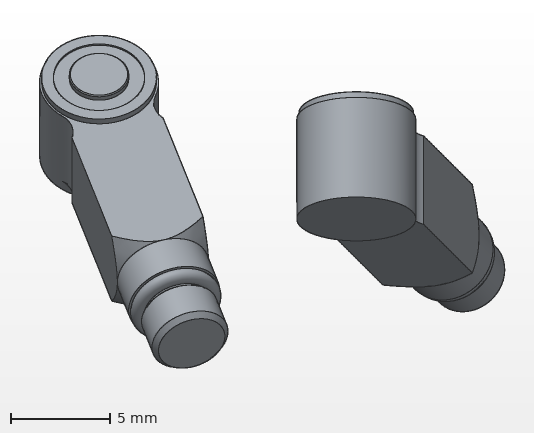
import cadquery as cq
import math

drum_diameter = 6.0
drum_height = 5.4

cap_diameter = 5.8
cap_top = 5.75
recess_diameter = 4.6
recess_depth = 0.1
button_diameter = 3.0
button_top = 5.97
button_chamfer = 0.05

arm_width = 4.8
arm_axis_z = drum_height - arm_width / 2
shoulder_x = 11.39
collar_end_x = 13.4

neck_radius = 1.36
neck_tangent_x = 1.75

ring_section_diameter = 0.8
ring_end_x = 14.05
ring_outer_diameter = 4.72
plug_diameter = 4.0
plug_groove_diameter = 3.6
plug_start_x = 14.14
plug_tip_diameter = 3.5
plug_tip_length = 0.3
plug_end_x = 19.5 - drum_diameter / 2


def disc(diameter, bottom, top):
    """Upright cylinder on the drum axis."""
    return cq.Workplane("XY").workplane(offset=bottom).circle(diameter / 2).extrude(top - bottom)


def revolve_about_arm(sketch):
    """Revolve a closed XZ profile around the arm axis."""
    return sketch.revolve(360, (0, 0, 0), (1, 0, 0))


def arm_profile_plane():
    """XZ plane with its origin on the arm axis."""
    return cq.Workplane("XZ", origin=(0, 0, arm_axis_z))


def make_head():
    drum = disc(drum_diameter, 0, drum_height)
    cap = disc(cap_diameter, drum_height, cap_top)
    recess_floor = cap_top - recess_depth
    recess = disc(recess_diameter, recess_floor, cap_top)
    button = disc(button_diameter, recess_floor, button_top).faces(">Z").chamfer(button_chamfer)
    return drum.union(cap).cut(recess).union(button)


def make_arm():
    half_width = arm_width / 2
    drum_radius = drum_diameter / 2

    tangent_y = math.sqrt(drum_radius**2 - neck_tangent_x**2)
    center_scale = (drum_radius + neck_radius) / drum_radius
    center_x = neck_tangent_x * center_scale
    center_y = tangent_y * center_scale
    neck_end_x = center_x + math.sqrt(neck_radius**2 - (center_y - half_width) ** 2)
    neck_low_y = center_y - neck_radius

    bar = (
        cq.Workplane("XY", origin=(0, 0, arm_axis_z - half_width))
        .moveTo(0, -tangent_y)
        .lineTo(neck_tangent_x, -tangent_y)
        .threePointArc((center_x, -neck_low_y), (neck_end_x, -half_width))
        .lineTo(shoulder_x, -half_width)
        .lineTo(shoulder_x, half_width)
        .lineTo(neck_end_x, half_width)
        .threePointArc((center_x, neck_low_y), (neck_tangent_x, tangent_y))
        .lineTo(0, tangent_y)
        .close()
        .extrude(arm_width)
    )

    cone_apex_x = shoulder_x + half_width
    cone_start_x = -drum_diameter
    cone = revolve_about_arm(
        arm_profile_plane().polyline(
            [(cone_start_x, 0), (cone_apex_x, 0), (cone_start_x, cone_apex_x - cone_start_x)]
        ).close()
    )
    collar = (
        cq.Workplane("YZ", origin=(shoulder_x, 0, arm_axis_z))
        .circle(half_width)
        .extrude(collar_end_x - shoulder_x)
    )
    return bar.intersect(cone).union(collar)


def make_ring():
    section_radius = ring_section_diameter / 2
    center_x = ring_end_x - section_radius
    center_radius = ring_outer_diameter / 2 - section_radius
    section = arm_profile_plane().moveTo(center_x, center_radius).circle(section_radius)
    return revolve_about_arm(section)


def make_plug():
    plug_radius = plug_diameter / 2
    groove_radius = plug_groove_diameter / 2
    bevel = plug_radius - groove_radius
    return revolve_about_arm(
        arm_profile_plane().polyline([
            (collar_end_x, 0),
            (collar_end_x, groove_radius),
            (plug_start_x, groove_radius),
            (plug_start_x + bevel, plug_radius),
            (plug_end_x - plug_tip_length, plug_radius),
            (plug_end_x, plug_tip_diameter / 2),
            (plug_end_x, 0),
        ]).close()
    )


result = make_head().union(make_arm()).union(make_ring()).union(make_plug())